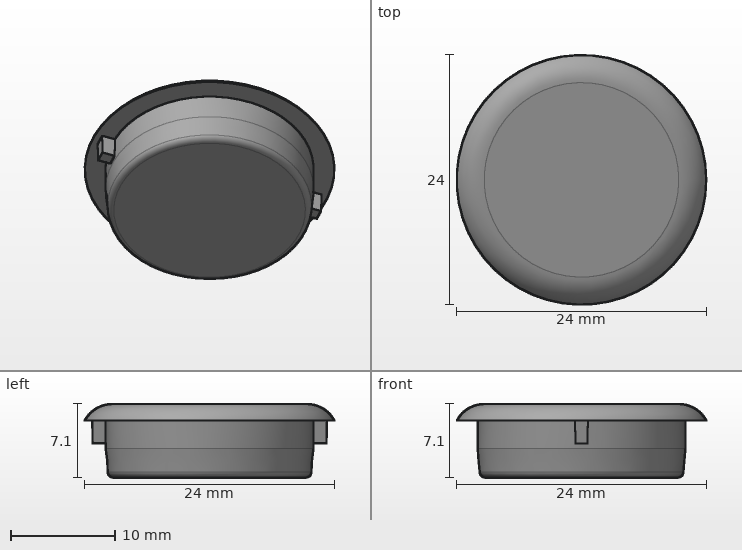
import cadquery as cq
import math

total_height = 7.1
flange_thickness = 1.6
straight_wall_height = 2.7
tab_height = 2.2

flange_radius = 12.0
crown_radius = 3.0

body_radius = 10.0
body_taper = 5.0
bottom_fillet = 0.6

tab_width = 1.23
tab_reach = 11.285
tab_draft = 1.0
tab_overlap = 1.0

flange_bottom = total_height - flange_thickness
taper_top = flange_bottom - straight_wall_height
tab_root = body_radius - tab_overlap
bottom_radius = body_radius - taper_top * math.tan(math.radians(body_taper))


def make_flange():
    """Flat-topped disc with a rounded edge that is tangent to the top face."""
    rim_drop = crown_radius - flange_thickness
    flat_radius = flange_radius - math.sqrt(crown_radius**2 - rim_drop**2)
    half_angle = math.acos(rim_drop / crown_radius) / 2
    arc_middle = (
        flat_radius + crown_radius * math.sin(half_angle),
        total_height - crown_radius * (1 - math.cos(half_angle)),
    )
    return (
        cq.Workplane("XZ")
        .moveTo(0, flange_bottom)
        .lineTo(flange_radius, flange_bottom)
        .threePointArc(arc_middle, (flat_radius, total_height))
        .lineTo(0, total_height)
        .close()
        .revolve(360, (0, 0), (0, 1))
    )


def make_body():
    """Cylindrical plug, tapered towards a rounded bottom edge."""
    body = (
        cq.Workplane("XZ")
        .lineTo(bottom_radius, 0)
        .lineTo(body_radius, taper_top)
        .lineTo(body_radius, flange_bottom)
        .lineTo(0, flange_bottom)
        .close()
        .revolve(360, (0, 0), (0, 1))
    )
    return body.faces("<Z").edges().fillet(bottom_fillet)


def make_tab(side):
    """Drafted tab hanging under the flange on the +Y (side=1) or -Y (side=-1) side."""
    return (
        cq.Workplane("XY", origin=(0, side * (tab_root + tab_reach) / 2, flange_bottom))
        .rect(tab_width, tab_reach - tab_root)
        .extrude(-tab_height, taper=tab_draft)
    )


result = make_flange().union(make_body())
for tab_side in (-1, 1):
    result = result.union(make_tab(tab_side))